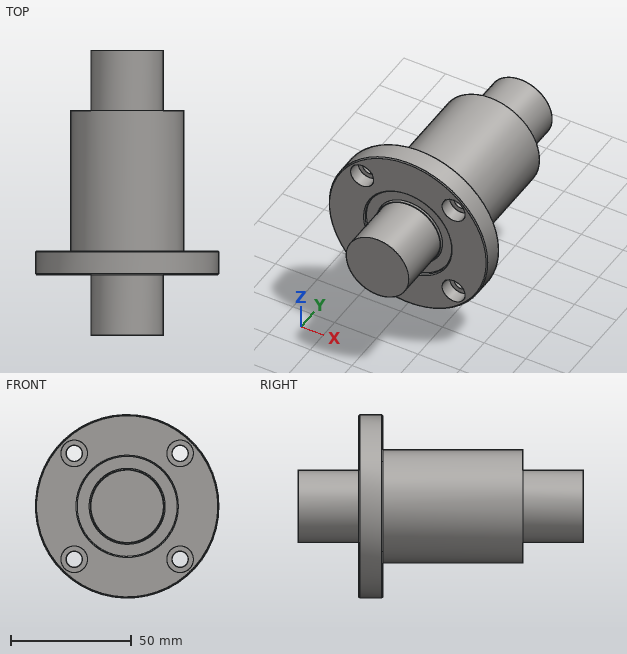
import cadquery as cq


shaft_diameter = 30.0
shaft_overhang = 25.0

body_diameter = 47.0
body_length = 68.0
flange_diameter = 76.0
flange_thickness = 10.0
flange_chamfer = 0.5

bolt_circle_diameter = 62.0
bolt_count = 4
bolt_start_angle = 45.0
bolt_hole_diameter = 6.6
counterbore_diameter = 11.0
counterbore_depth = 6.1

seal_diameter = 41.4
seal_mouth_chamfer = 0.5
seal_recess_depth = 1.5

lip_base_diameter = 31.5
lip_tip_diameter = 30.5
lip_height = 0.8


def cylinder(diameter, start, length):
    """Cylinder on the Y axis, running from Y = start towards +Y."""
    plane = cq.Workplane("XZ", origin=(0, start, 0))
    return plane.circle(diameter / 2).extrude(-length)


def make_bushing():
    flange = cylinder(flange_diameter, 0, flange_thickness).edges().chamfer(flange_chamfer)
    return flange.union(cylinder(body_diameter, 0, body_length))


def make_seal_recess():
    """Recess with a chamfered mouth, leaving the seal lip standing on its floor."""
    seal_radius = seal_diameter / 2
    profile = [
        (0, 0),
        (seal_radius + seal_mouth_chamfer, 0),
        (seal_radius, seal_mouth_chamfer),
        (seal_radius, seal_recess_depth),
        (lip_base_diameter / 2, seal_recess_depth),
        (lip_tip_diameter / 2, seal_recess_depth - lip_height),
        (0, seal_recess_depth - lip_height),
    ]
    return cq.Workplane("XY").polyline(profile).close().revolve(360, (0, 0, 0), (0, 1, 0))


def make_bolt_holes():
    bolt_pattern = cq.Workplane("XZ").polarArray(bolt_circle_diameter / 2, bolt_start_angle, 360, bolt_count)
    through_holes = bolt_pattern.circle(bolt_hole_diameter / 2).extrude(-flange_thickness)
    counterbores = bolt_pattern.circle(counterbore_diameter / 2).extrude(-counterbore_depth)
    return through_holes.union(counterbores)


bushing = make_bushing().cut(make_seal_recess()).cut(make_bolt_holes())
shaft = cylinder(shaft_diameter, -shaft_overhang, body_length + 2 * shaft_overhang)
result = bushing.union(shaft)